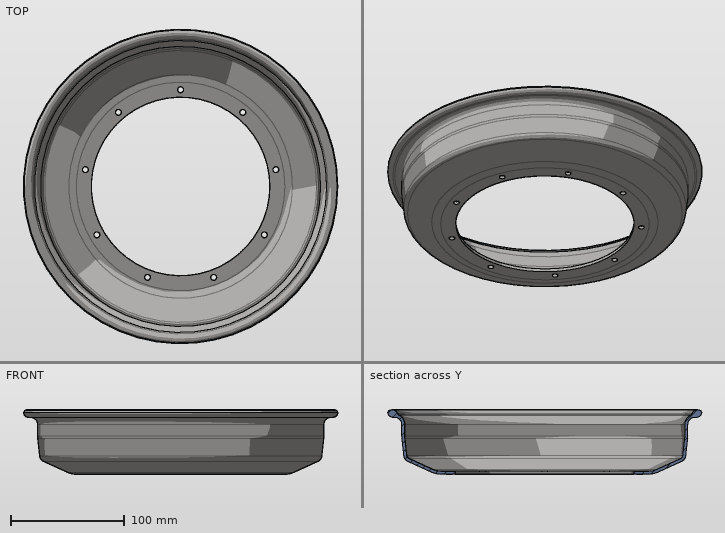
import math

import cadquery as cq

sheet = 3.0
bore_radius = 78.7
floor_flat_radius = 92.05
floor_bend_inner = 16.0
cone_angle = 24.5
shoulder_inner = 3.0
taper_angle = 6.3
wall_radius = 126.6
wall_bottom = 34.1
wall_top = 44.2
taper_bend_outer = 23.0
flare_outer = 6.0

rim_radius = 138.845
height = 57.28
bead_crown_radius = 5.2
bead_crown_center = 135.0
bead_edge_radius = 4.6
crown_outer_angle = 53.0
crown_inner_angle = 159.0
bead_valley_radius = 128.9

hole_count = 9
hole_diameter = 5.0
hole_circle_radius = 85.4
first_hole_angle = 90
full_turn = 360


def on_circle(center, radius, degrees):
    """Point on a circle, the angle counted from outward (+R) toward up (+Z)."""
    angle = math.radians(degrees)
    return (center[0] + radius * math.cos(angle), center[1] + radius * math.sin(angle))


floor_bend_outer = floor_bend_inner + sheet
shoulder_outer = shoulder_inner + sheet
floor_center = (floor_flat_radius, floor_bend_outer)
taper_center = (wall_radius - taper_bend_outer, wall_bottom)
flare_center = (wall_radius + flare_outer, wall_top)

cone_normal = -90 + cone_angle
taper_normal = -taper_angle
cone_line = on_circle(floor_center, floor_bend_outer - shoulder_outer, cone_normal)
taper_line = on_circle(taper_center, taper_bend_outer - shoulder_outer, taper_normal)
cone_slope = math.tan(math.radians(cone_angle))
taper_lean = math.tan(math.radians(taper_angle))
shoulder_height = (
    cone_line[1] + cone_slope * (taper_line[0] - cone_line[0] - taper_lean * taper_line[1])
) / (1 - cone_slope * taper_lean)
shoulder_center = (taper_line[0] + taper_lean * (shoulder_height - taper_line[1]), shoulder_height)

flange_underside = wall_top + flare_outer
bead_edge_center = (rim_radius - bead_edge_radius, flange_underside + bead_edge_radius)
crown_center = (bead_crown_center, height - bead_crown_radius)
flare_inner = flare_outer + sheet
valley_angle = 180 - math.degrees(math.acos((flare_center[0] - bead_valley_radius) / flare_inner))
bead_valley = on_circle(flare_center, flare_inner, valley_angle)


def add_bend(path, center, radius, start, end):
    """Straight run to the start of a bend, then the bend itself."""
    return path.lineTo(*on_circle(center, radius, start)).threePointArc(
        on_circle(center, radius, (start + end) / 2), on_circle(center, radius, end)
    )


def make_shell():
    """Wall section revolved about Z."""
    path = cq.Workplane("XZ").moveTo(bore_radius, 0)
    path = add_bend(path, floor_center, floor_bend_outer, -90, cone_normal)
    path = add_bend(path, shoulder_center, shoulder_outer, cone_normal, taper_normal)
    path = add_bend(path, taper_center, taper_bend_outer, taper_normal, 0)
    path = add_bend(path, flare_center, flare_outer, 180, 90)
    path = add_bend(path, bead_edge_center, bead_edge_radius, -90, 0)
    path = add_bend(path, crown_center, bead_crown_radius, crown_outer_angle, crown_inner_angle)
    path = path.lineTo(*bead_valley)
    path = path.threePointArc(
        on_circle(flare_center, flare_inner, (valley_angle + 180) / 2),
        on_circle(flare_center, flare_inner, 180),
    )
    path = add_bend(path, taper_center, taper_bend_outer - sheet, 0, taper_normal)
    path = add_bend(path, shoulder_center, shoulder_inner, taper_normal, cone_normal)
    path = add_bend(path, floor_center, floor_bend_inner, cone_normal, -90)
    path = path.lineTo(bore_radius, sheet).close()
    return path.revolve(full_turn, (0, 0, 0), (0, 1, 0))


def make_holes():
    """Ring of bolt holes through the floor."""
    return (
        cq.Workplane("XY")
        .polarArray(hole_circle_radius, first_hole_angle, full_turn, hole_count)
        .circle(hole_diameter / 2)
        .extrude(sheet)
    )


result = make_shell().cut(make_holes())